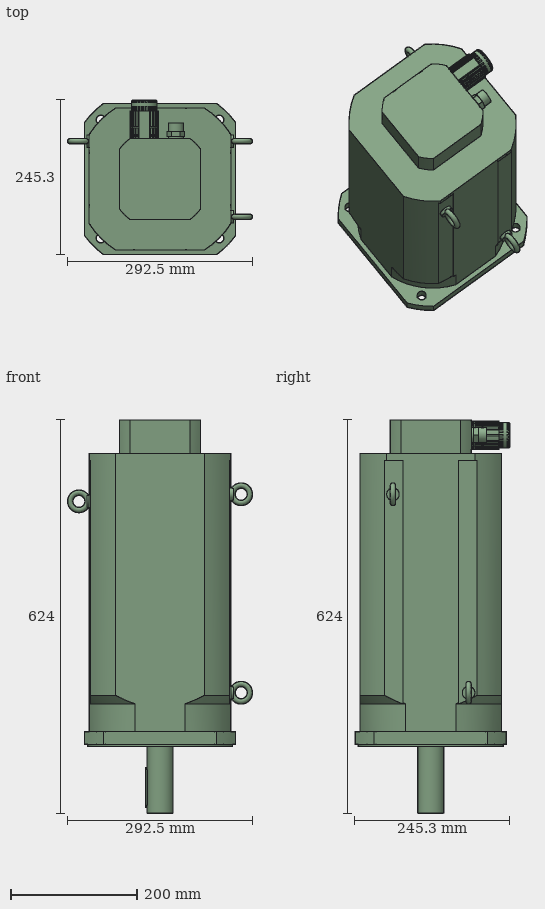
import cadquery as cq
import math


corner_count = 4

shaft_diameter = 42.0
shaft_chamfer = 1.0
key_width = 12.0
key_bottom_z = 10.0
key_length = 63.0
key_proud = 2.0

pilot_diameter = 230.0
pilot_bottom_z = 106.0
flange_bottom_z = 110.0
flange_top_z = 130.0
flange_width = 239.5
flange_corner_diameter = 299.5
bolt_hole_diameter = 14.5
bolt_circle_diameter = 265.0

housing_width = 224.5
housing_corner_diameter = 265.0
housing_waist_diameter = 238.5
housing_waist_top_z = 174.0
housing_top_z = 571.0
side_recess_depth = 2.0
side_recess_inner_y = 44.0
side_recess_top_z = 560.0

cover_width = 128.5
cover_corner_diameter = 160.0
cover_top_z = 624.0
cover_groove_y = 26.0
cover_groove_width = 7.5
cover_groove_depth = 0.5
cover_groove_top_gap = 3.0

eye_collar_diameter = 20.0
eye_collar_height = 5.5
eye_ring_diameter = 36.0
eye_section_diameter = 9.0
eye_offset_y = 60.0
eye_upper_right_z = 506.0
eye_upper_left_z = 495.0
eye_lower_z = 191.5

connector_offset_x = 25.0
connector_z = 599.5

barrel_core_diameter = 40.5
barrel_rib_diameter = 45.5
barrel_pad_width = 16.0
barrel_flat_height = 45.0
barrel_seam_width = 2.5
barrel_seam_depth = 1.0
barrel_front_y = 108.0
barrel_collar_front_y = 68.0
tooth_start_y = 70.0
tooth_end_y = 81.0
rib_start_y = 83.0
rib_width = 3.0
rib_angles = (30, 45, 60)
ring_diameter = 40.5
ring_chamfer = 2.0
ring_front_y = 125.5
ring_band_start_y = 115.0
ring_band_end_y = 121.0
ring_slot_count = 22
ring_slot_width = 2.5
ring_slot_depth = 1.0

signal_diameter = 24.0
signal_front_y = 88.5
signal_nut_back_y = 67.5
signal_nut_front_y = 75.5
signal_nut_sides = 6


def round_cornered_block(width, corner_diameter, bottom_z, top_z):
    """Square block whose four corners are turned to a common diameter."""
    height = top_z - bottom_z
    block = cq.Workplane().workplane(offset=bottom_z).rect(width, width).extrude(height)
    return block.intersect(z_cylinder(corner_diameter, bottom_z, top_z))


def z_cylinder(diameter, bottom_z, top_z):
    return cq.Workplane().workplane(offset=bottom_z).circle(diameter / 2).extrude(top_z - bottom_z)


def y_plane(x, start_y):
    """XZ workplane at the connector height; its normal is -Y, so negative extrusions grow along +Y."""
    return cq.Workplane("XZ", origin=(x, start_y, connector_z))


def y_cylinder(x, diameter, start_y, end_y):
    return y_plane(x, start_y).circle(diameter / 2).extrude(start_y - end_y)


def make_shaft():
    shaft = z_cylinder(shaft_diameter, 0, pilot_bottom_z).faces("<Z").chamfer(shaft_chamfer)
    key_height = shaft_diameter / 2 + key_proud
    key = (
        cq.Workplane("YZ", origin=(0, 0, key_bottom_z + key_length / 2))
        .slot2D(key_length, key_width, 90)
        .extrude(-key_height)
    )
    return shaft.union(key)


def make_flange():
    flange = round_cornered_block(flange_width, flange_corner_diameter, flange_bottom_z, flange_top_z)
    flange = flange.union(z_cylinder(pilot_diameter, pilot_bottom_z, flange_bottom_z))
    bolt_holes = (
        cq.Workplane()
        .workplane(offset=pilot_bottom_z)
        .polarArray(bolt_circle_diameter / 2, 45, 360, corner_count)
        .circle(bolt_hole_diameter / 2)
        .extrude(flange_top_z - pilot_bottom_z)
    )
    return flange.cut(bolt_holes)


def make_housing():
    """Square frame turned to a narrower waist at the bottom, with a 45 degree shoulder between."""
    corner_radius = housing_corner_diameter / 2
    waist_radius = housing_waist_diameter / 2
    shoulder_top_z = housing_waist_top_z + corner_radius - waist_radius
    turned = (
        cq.Workplane("XZ")
        .moveTo(0, flange_top_z)
        .lineTo(waist_radius, flange_top_z)
        .lineTo(waist_radius, housing_waist_top_z)
        .lineTo(corner_radius, shoulder_top_z)
        .lineTo(corner_radius, housing_top_z)
        .lineTo(0, housing_top_z)
        .close()
        .revolve(360, (0, 0, 0), (0, 1, 0))
    )
    frame_height = housing_top_z - flange_top_z
    frame = (
        cq.Workplane()
        .workplane(offset=flange_top_z)
        .rect(housing_width, housing_width)
        .extrude(frame_height)
    )
    housing = turned.intersect(frame)

    recess_width = housing_width / 2 - side_recess_inner_y
    recess_height = side_recess_top_z - housing_waist_top_z
    recess_center_y = side_recess_inner_y + recess_width / 2
    recess_center_z = housing_waist_top_z + recess_height / 2
    for x_side in (-1, 1):
        for y_side in (-1, 1):
            recess = cq.Workplane().box(2 * side_recess_depth, recess_width, recess_height)
            place = (x_side * housing_width / 2, y_side * recess_center_y, recess_center_z)
            housing = housing.cut(recess.translate(place))
    return housing


def make_encoder_cover():
    cover = round_cornered_block(cover_width, cover_corner_diameter, housing_top_z, cover_top_z)
    groove_height = cover_top_z - cover_groove_top_gap - housing_top_z
    for y_side in (-1, 1):
        groove = cq.Workplane().box(2 * cover_groove_depth, cover_groove_width, groove_height)
        place = (-cover_width / 2, y_side * cover_groove_y, housing_top_z + groove_height / 2)
        cover = cover.cut(groove.translate(place))
    return cover


def make_motor():
    return make_shaft().union(make_flange()).union(make_housing()).union(make_encoder_cover())


def make_eyebolt(x_side, y, z):
    """Eyebolt seated on a side recess and pointing out along X."""
    seat_x = housing_width / 2 - side_recess_depth
    ring_center_x = seat_x + eye_ring_diameter / 2
    ring_path_radius = (eye_ring_diameter - eye_section_diameter) / 2
    collar = (
        cq.Workplane("YZ", origin=(seat_x, 0, 0))
        .circle(eye_collar_diameter / 2)
        .extrude(eye_collar_height)
    )
    ring = cq.Workplane(
        cq.Solid.makeTorus(
            ring_path_radius, eye_section_diameter / 2, cq.Vector(ring_center_x, 0, 0), cq.Vector(0, 1, 0)
        )
    )
    eyebolt = collar.union(ring)
    if x_side < 0:
        eyebolt = eyebolt.rotate((0, 0, 0), (0, 0, 1), 180)
    return eyebolt.translate((0, y, z))


def make_barrel_ribs(x, start_y, end_y):
    """Axial grip ribs standing on the four corners of the barrel."""
    ribs = cq.Workplane()
    for corner in range(corner_count):
        for rib_angle in rib_angles:
            rib = (
                y_plane(x, start_y)
                .transformed(rotate=(0, 0, 360 / corner_count * corner + rib_angle))
                .center(barrel_rib_diameter / 4, 0)
                .rect(barrel_rib_diameter / 2, rib_width)
                .extrude(start_y - end_y)
            )
            ribs = ribs.add(rib)
    return ribs.combine()


def make_barrel(x):
    """Ribbed barrel with flat pads above and below and round, seamed pads on its sides."""
    cover_y = cover_width / 2
    length = barrel_front_y - cover_y
    flat_pads = y_plane(x, cover_y).rect(barrel_pad_width, barrel_flat_height).extrude(-length)
    side_pads = (
        y_plane(x, cover_y)
        .rect(barrel_rib_diameter, barrel_pad_width)
        .extrude(-length)
        .intersect(y_cylinder(x, barrel_rib_diameter, cover_y, barrel_front_y))
    )
    seams = (
        y_plane(x, cover_y)
        .polarArray(barrel_rib_diameter / 2, 0, 360, 2)
        .rect(2 * barrel_seam_depth, barrel_seam_width)
        .extrude(-length)
    )
    barrel = y_cylinder(x, barrel_core_diameter, cover_y, barrel_front_y)
    barrel = barrel.union(flat_pads).union(side_pads.cut(seams))
    barrel = barrel.union(make_barrel_ribs(x, tooth_start_y, tooth_end_y))
    barrel = barrel.union(make_barrel_ribs(x, rib_start_y, barrel_front_y))
    return barrel.union(make_barrel_ribs(x, cover_y, barrel_collar_front_y))


def make_coupling_ring(x):
    """Ring with axial grip slots on both sides of a plain middle band."""
    ring = y_cylinder(x, ring_diameter, barrel_front_y, ring_front_y).faces(">Y").chamfer(ring_chamfer)
    for start_y, end_y in ((barrel_front_y, ring_band_start_y), (ring_band_end_y, ring_front_y)):
        slots = (
            y_plane(x, start_y)
            .polarArray(ring_diameter / 2, 0, 360, ring_slot_count)
            .rect(2 * ring_slot_depth, ring_slot_width)
            .extrude(start_y - end_y)
        )
        ring = ring.cut(slots)
    return ring


def make_power_connector(x):
    return make_barrel(x).union(make_coupling_ring(x))


def make_signal_connector(x):
    body = y_cylinder(x, signal_diameter, cover_width / 2, signal_front_y)
    nut_corner_diameter = signal_diameter / math.cos(math.pi / signal_nut_sides)
    nut = (
        y_plane(x, signal_nut_back_y)
        .polygon(signal_nut_sides, nut_corner_diameter)
        .extrude(signal_nut_back_y - signal_nut_front_y)
    )
    return body.union(nut)


motor = make_motor()
power_connector = make_power_connector(-connector_offset_x)
signal_connector = make_signal_connector(connector_offset_x)

eyebolt_places = (
    (-1, eye_offset_y, eye_upper_left_z),
    (1, -eye_offset_y, eye_upper_right_z),
    (1, eye_offset_y, eye_lower_z),
)
eyebolts = [make_eyebolt(x_side, y, z) for x_side, y, z in eyebolt_places]

result = cq.Compound.makeCompound(
    [motor.val(), power_connector.val(), signal_connector.val(), *(eyebolt.val() for eyebolt in eyebolts)]
)